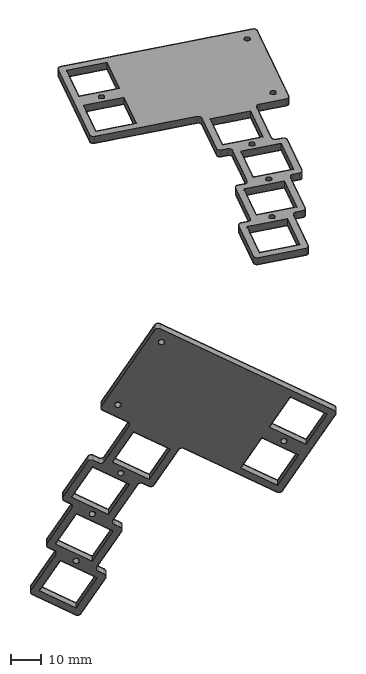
import cadquery as cq

overall_length = 114.2
plate_depth = 69.0
thickness = 3.0
corner_radius = 1.3
rim_width = 2.5
hole_diameter = 2.0
hole_inset = 4.5

plate_columns = 2
arm_columns = 4
pitch = overall_length / (plate_columns + arm_columns)
plate_width = plate_columns * pitch
window_size = pitch - 2 * rim_width
stagger = pitch / 4
arm_center_y = 2.5 * pitch

arm_rows = [arm_center_y + step * stagger for step in (0, 1, 0, -1)]


def column_center(column):
    """X position of the middle of a cell column, counted from the left edge."""
    return (column + 0.5) * pitch


plate_cells = [(column_center(i), pitch / 2) for i in range(plate_columns)]
arm_cells = [(column_center(plate_columns + i), y) for i, y in enumerate(arm_rows)]


def make_outline():
    """Main plate joined to the staggered arm, with every outer corner rounded."""
    body = cq.Workplane("XY").box(plate_width, plate_depth, thickness, centered=False)
    arm = cq.Workplane("XY").pushPoints(arm_cells).rect(pitch, pitch).extrude(thickness)
    return body.union(arm).clean().edges("|Z").fillet(corner_radius)


def make_windows():
    """Square through openings, one centered in each cell."""
    centers = plate_cells + arm_cells
    return cq.Workplane("XY").pushPoints(centers).rect(window_size, window_size).extrude(thickness)


def make_holes():
    """Through holes midway between neighboring cells and in the two top plate corners."""
    centers = [
        (hole_inset, plate_depth - hole_inset),
        (plate_width - hole_inset, plate_depth - hole_inset),
    ]
    for cells in (plate_cells, arm_cells):
        for (x1, y1), (x2, y2) in zip(cells, cells[1:]):
            centers.append(((x1 + x2) / 2, (y1 + y2) / 2))
    return cq.Workplane("XY").pushPoints(centers).circle(hole_diameter / 2).extrude(thickness)


result = make_outline().cut(make_windows()).cut(make_holes())